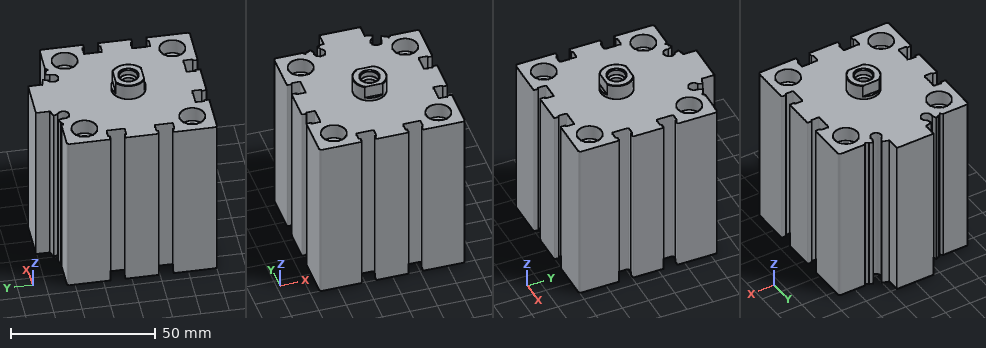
import cadquery as cq
import math

SIDE = 53.0
HEIGHT = 63.0
CORNER_RADIUS = 1.0
HALF_SIDE = SIDE / 2

TAB_WIDTH = 15.0
TAB_REACH = 34.0
CROWN_RADIUS = 30.0

V_GROOVE_X = 15.2
V_GROOVE_DEPTH = 0.8

KEYHOLE_ANGLE = 22.5
KEYHOLE_RADIUS = 26.85
KEYHOLE_DIAMETER = 4.0
KEYHOLE_MOUTH = 3.0

SLOT_OFFSET = 8.5
SLOT_MOUTH = 5.2
SLOT_WIDTH = 6.4
SLOT_DEPTH = 5.0
SLOT_LIP = 1.8
SLOT_CORNER_RADIUS = 0.3

TOLERANCE = 1e-4

HOLE_PITCH = 38.0
HOLE_DIAMETER = 5.2
HOLE_CHAMFER_DIAMETER = 6.0
COUNTERBORE_DIAMETER = 9.0
COUNTERBORE_DEPTH = 5.7

ROD_DIAMETER = 12.0
ROD_PROJECTION = 6.0
ROD_SEAT_DEPTH = 12.0
ROD_EDGE_CHAMFER = 0.2
FLATS_WIDTH = 10.0
FLATS_HEIGHT = 4.8
ROD_TOP = HEIGHT + ROD_PROJECTION
ROD_BOTTOM = HEIGHT - ROD_SEAT_DEPTH

ROD_MOUTH_DIAMETER = 7.2
ROD_RELIEF_DIAMETER = 6.4
ROD_RELIEF_DEPTH = 2.5
ROD_HOLE_DIAMETER = 4.92
ROD_HOLE_DEPTH = 12.0
DRILL_HALF_ANGLE = 60.0


def revolved(points):
    """Turn a closed (radius, height) outline about the Z axis."""
    return cq.Workplane("XZ").polyline(points).close().revolve(360, (0, 0), (0, 1))


def box_between(x_min, x_max, y_min, y_max):
    """Full-height block over the given rectangle."""
    return (
        cq.Workplane("XY")
        .center((x_min + x_max) / 2, (y_min + y_max) / 2)
        .rect(x_max - x_min, y_max - y_min)
        .extrude(HEIGHT)
    )


def housing_blank():
    """Square block with its tab and the crown between the two V-grooves."""
    block = cq.Workplane("XY").rect(SIDE, SIDE).extrude(HEIGHT)
    block = block.edges("|Z").fillet(CORNER_RADIUS)
    tab = box_between(-TAB_WIDTH / 2, TAB_WIDTH / 2, 0, TAB_REACH)
    crown_limit = box_between(-V_GROOVE_X, V_GROOVE_X, 0, CROWN_RADIUS)
    crown = cq.Workplane("XY").circle(CROWN_RADIUS).extrude(HEIGHT).intersect(crown_limit)
    return block.union(crown).union(tab)


def v_groove(side):
    """V-groove beside the crown; side is -1 or +1."""
    x = side * V_GROOVE_X
    outline = [
        (x - V_GROOVE_DEPTH, HALF_SIDE),
        (x, HALF_SIDE - V_GROOVE_DEPTH),
        (x + V_GROOVE_DEPTH, HALF_SIDE),
    ]
    return cq.Workplane("XY").polyline(outline).close().extrude(HEIGHT)


def keyhole_slot(side):
    """Round-bottomed slot opening radially through the crown; side is -1 or +1."""
    bottom = cq.Workplane("XY").center(0, KEYHOLE_RADIUS).circle(KEYHOLE_DIAMETER / 2).extrude(HEIGHT)
    mouth = box_between(-KEYHOLE_MOUTH / 2, KEYHOLE_MOUTH / 2, KEYHOLE_RADIUS, TAB_REACH)
    return bottom.union(mouth).rotate((0, 0, 0), (0, 0, 1), -side * KEYHOLE_ANGLE)


def t_slot(face_angle, offset):
    """T-slot with rounded pocket corners in the front face, turned about Z onto the wanted face."""
    pocket_front = SLOT_LIP - HALF_SIDE
    pocket_back = SLOT_DEPTH - HALF_SIDE
    mouth = box_between(offset - SLOT_MOUTH / 2, offset + SLOT_MOUTH / 2, -HALF_SIDE, pocket_front)
    pocket = box_between(offset - SLOT_WIDTH / 2, offset + SLOT_WIDTH / 2, pocket_front, pocket_back)
    pocket = pocket.edges("|Z").fillet(SLOT_CORNER_RADIUS)
    return mouth.union(pocket).rotate((0, 0, 0), (0, 0, 1), face_angle)


def is_slot_mouth_edge(edge):
    """True for a vertical edge where a T-slot mouth meets an outer face."""
    center = edge.Center()
    across, along = sorted((abs(center.x), abs(center.y)))
    from_slot_center = abs(across - SLOT_OFFSET)
    on_face = math.isclose(along, HALF_SIDE, abs_tol=TOLERANCE)
    return on_face and math.isclose(from_slot_center, SLOT_MOUTH / 2, abs_tol=TOLERANCE)


def mounting_hole():
    """Through hole with a counterbore at the top and a chamfer on the counterbore floor."""
    hole = HOLE_DIAMETER / 2
    chamfer = HOLE_CHAMFER_DIAMETER / 2
    counterbore = COUNTERBORE_DIAMETER / 2
    floor = HEIGHT - COUNTERBORE_DEPTH
    return revolved([
        (0, 0),
        (hole, 0),
        (hole, floor - (chamfer - hole)),
        (chamfer, floor),
        (counterbore, floor),
        (counterbore, HEIGHT),
        (0, HEIGHT),
    ])


def make_housing():
    body = housing_blank()
    for side in (-1, 1):
        body = body.cut(v_groove(side)).cut(keyhole_slot(side))
    for face_angle in (-90, 0, 90):
        for offset in (-SLOT_OFFSET, SLOT_OFFSET):
            body = body.cut(t_slot(face_angle, offset))
    body = body.edges("|Z").filter(is_slot_mouth_edge).fillet(SLOT_CORNER_RADIUS)
    for x in (-HOLE_PITCH / 2, HOLE_PITCH / 2):
        for y in (-HOLE_PITCH / 2, HOLE_PITCH / 2):
            body = body.cut(mounting_hole().translate((x, y, 0)))
    rod_seat = cq.Workplane("XY", origin=(0, 0, ROD_BOTTOM)).circle(ROD_DIAMETER / 2).extrude(ROD_SEAT_DEPTH)
    return body.cut(rod_seat)


def rod_end_hole():
    """Blind hole with a chamfered mouth, a short relief and a drill-point bottom."""
    mouth = ROD_MOUTH_DIAMETER / 2
    relief = ROD_RELIEF_DIAMETER / 2
    hole = ROD_HOLE_DIAMETER / 2
    relief_bottom = ROD_TOP - ROD_RELIEF_DEPTH
    hole_bottom = ROD_TOP - ROD_HOLE_DEPTH
    drill_point = hole / math.tan(math.radians(DRILL_HALF_ANGLE))
    return revolved([
        (0, ROD_TOP),
        (mouth, ROD_TOP),
        (relief, ROD_TOP - (mouth - relief)),
        (relief, relief_bottom),
        (hole, relief_bottom - (relief - hole)),
        (hole, hole_bottom),
        (0, hole_bottom - drill_point),
    ])


def make_rod():
    rod = cq.Workplane("XY", origin=(0, 0, ROD_BOTTOM)).circle(ROD_DIAMETER / 2).extrude(ROD_TOP - ROD_BOTTOM)
    rod = rod.faces(">Z").chamfer(ROD_EDGE_CHAMFER)
    cutter_depth = (ROD_DIAMETER - FLATS_WIDTH) / 2
    for side in (-1, 1):
        cutter = cq.Workplane("XY").box(ROD_DIAMETER, cutter_depth, FLATS_HEIGHT)
        cutter_y = side * (FLATS_WIDTH + cutter_depth) / 2
        rod = rod.cut(cutter.translate((0, cutter_y, ROD_TOP - FLATS_HEIGHT / 2)))
    return rod.cut(rod_end_hole())


housing = make_housing()
piston_rod = make_rod()

result = cq.Compound.makeCompound([housing.solids().val(), piston_rod.solids().val()])